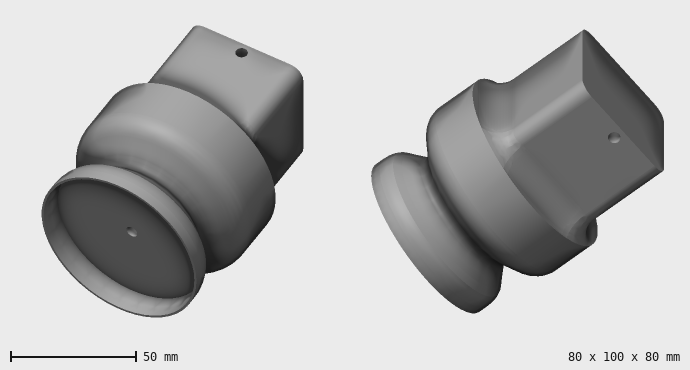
import cadquery as cq
import math

rim_radius = 36.0
rim_straight = 4.3
rim_arc_end = 10.0
groove_start = (32.0, 12.5)
waist_radius = 26.5
waist_station = 18.9
groove_start_tangent = (-1, 1)
body_radius = 40.0
body_arc_start = 36.0
body_back = 55.0
rim_arc_radius = 12.0
shoulder_radius = 10.0
shoulder_sweep = math.radians(58)

arm_width = 52.0
arm_corner_radius = 6.0
arm_end = 100.0
arm_base_fillet = 10.0
match_tolerance = 0.01

recess_mouth_radius = 35.0
recess_floor_radius = 34.3
recess_depth = 10.0
hole_diameter = 5.0
cross_hole_inset = 4.5
front_hole_depth = 10.0


def arc_point(center, radius, angle):
    """Point at an angle from the radial direction on an arc in the (radius, station) plane."""
    return center[0] + radius * math.cos(angle), center[1] + radius * math.sin(angle)


def turned_body():
    rim_center = (rim_radius - rim_arc_radius, rim_straight)
    rim_sweep = math.asin((rim_arc_end - rim_straight) / rim_arc_radius)
    body_center = (body_radius - shoulder_radius, body_arc_start)
    body_arc_end = arc_point(body_center, shoulder_radius, -shoulder_sweep)
    groove_end_tangent = (math.sin(shoulder_sweep), math.cos(shoulder_sweep))

    profile = (
        cq.Workplane("XY")
        .lineTo(rim_radius, 0)
        .lineTo(rim_radius, rim_straight)
        .threePointArc(
            arc_point(rim_center, rim_arc_radius, rim_sweep / 2),
            arc_point(rim_center, rim_arc_radius, rim_sweep),
        )
        .lineTo(*groove_start)
        .spline(
            [(waist_radius, waist_station), body_arc_end],
            tangents=[groove_start_tangent, groove_end_tangent],
            includeCurrent=True,
        )
        .threePointArc(
            arc_point(body_center, shoulder_radius, -shoulder_sweep / 2),
            (body_radius, body_arc_start),
        )
        .lineTo(body_radius, body_back)
        .lineTo(0, body_back)
        .close()
    )
    return profile.revolve(360, (0, 0, 0), (0, 1, 0))


def add_square_arm(body):
    """Join the rounded square arm to the back of the body and flare its base."""
    arm = (
        cq.Workplane("XZ", origin=(0, body_back, 0))
        .rect(arm_width, arm_width)
        .extrude(body_back - arm_end)
        .edges("|Y")
        .fillet(arm_corner_radius)
    )
    arm_foot = arm.faces("<Y").edges().vals()
    foot_centers = [edge.Center() for edge in arm_foot]
    joined = body.union(arm)
    base_edges = [
        edge
        for edge in joined.edges().vals()
        if any((edge.Center() - center).Length < match_tolerance for center in foot_centers)
    ]
    return joined.newObject(base_edges).fillet(arm_base_fillet)


def front_recess():
    """Round recess narrowing slightly from its mouth to its flat floor."""
    return (
        cq.Workplane("XY")
        .lineTo(recess_mouth_radius, 0)
        .lineTo(recess_floor_radius, recess_depth)
        .lineTo(0, recess_depth)
        .close()
        .revolve(360, (0, 0, 0), (0, 1, 0))
    )


def front_hole():
    return (
        cq.Workplane("XZ", origin=(0, recess_depth, 0))
        .circle(hole_diameter / 2)
        .extrude(-front_hole_depth)
    )


def cross_hole():
    return (
        cq.Workplane("XY")
        .center(0, arm_end - cross_hole_inset)
        .circle(hole_diameter / 2)
        .extrude(arm_width, both=True)
    )


result = (
    add_square_arm(turned_body())
    .cut(front_recess())
    .cut(front_hole())
    .cut(cross_hole())
)